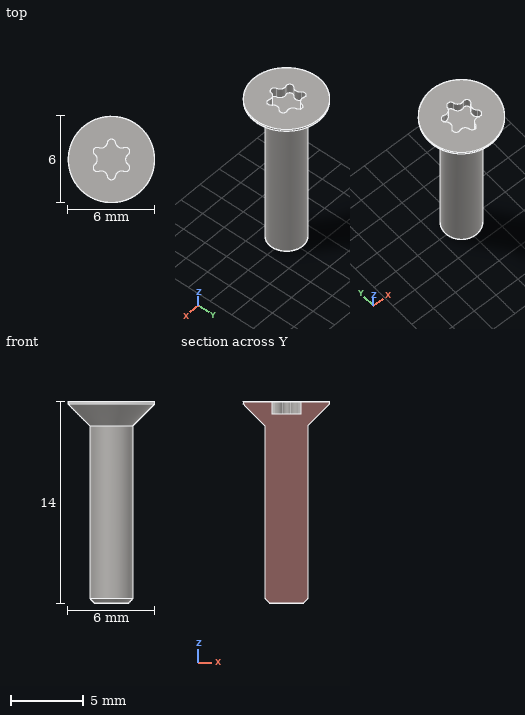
import cadquery as cq
import math

length = 14.0
shank_diameter = 3.0
head_diameter = 6.0
rim_height = 0.18
tip_chamfer = 0.32

lobe_count = 6
socket_diameter = 2.83
socket_inner_diameter = 1.97
lobe_radius = 0.28
socket_depth = 0.85

shank_radius = shank_diameter / 2
head_radius = head_diameter / 2
cone_height = head_radius - shank_radius
rim_bottom = length - rim_height
cone_bottom = rim_bottom - cone_height


def polar(radius, angle):
    return (radius * math.cos(angle), radius * math.sin(angle))


def make_body():
    profile = (
        cq.Workplane("XZ")
        .moveTo(0, 0)
        .lineTo(shank_radius - tip_chamfer, 0)
        .lineTo(shank_radius, tip_chamfer)
        .lineTo(shank_radius, cone_bottom)
        .lineTo(head_radius, rim_bottom)
        .lineTo(head_radius, length)
        .lineTo(0, length)
        .close()
    )
    return profile.revolve(360, (0, 0, 0), (0, 1, 0))


def make_socket():
    """Rounded lobes joined by tangent inward arcs."""
    outer_radius = socket_diameter / 2
    inner_radius = socket_inner_diameter / 2
    lobe_center_radius = outer_radius - lobe_radius
    pitch = 2 * math.pi / lobe_count
    half_pitch = pitch / 2

    along = lobe_center_radius * math.cos(half_pitch)
    across = lobe_center_radius * math.sin(half_pitch)
    flute_radius = ((along - inner_radius) ** 2 + across**2 - lobe_radius**2) / (
        2 * (lobe_radius + along - inner_radius)
    )
    flute_center_radius = inner_radius + flute_radius

    share = lobe_radius / (lobe_radius + flute_radius)
    flute_x, flute_y = polar(flute_center_radius, half_pitch)
    tangent_x = lobe_center_radius + share * (flute_x - lobe_center_radius)
    tangent_y = share * flute_y
    tangent_radius = math.hypot(tangent_x, tangent_y)
    tangent_angle = math.atan2(tangent_y, tangent_x)

    first_lobe = math.pi / 2
    outline = cq.Workplane("XY").workplane(offset=length - socket_depth)
    outline = outline.moveTo(*polar(tangent_radius, first_lobe - tangent_angle))
    for index in range(lobe_count):
        lobe = first_lobe + index * pitch
        outline = outline.threePointArc(
            polar(outer_radius, lobe),
            polar(tangent_radius, lobe + tangent_angle),
        )
        outline = outline.threePointArc(
            polar(inner_radius, lobe + half_pitch),
            polar(tangent_radius, lobe + pitch - tangent_angle),
        )
    return outline.close().extrude(socket_depth)


result = make_body().cut(make_socket())